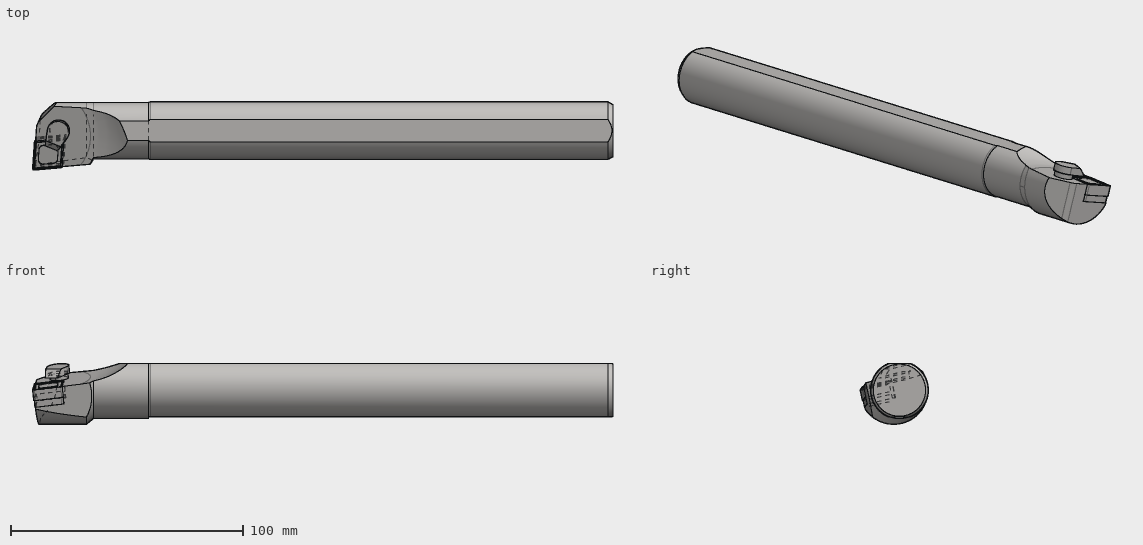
import cadquery as cq
import math

length = 250.0
shank_radius = 12.5
flat_height = 11.5
neck_radius = 12.2
neck_end = 50.0
step_length = 0.8
end_bevel_length = 2.2
end_bevel_depth = 1.2

head_radius = 14.8
head_center_y = -2.5
head_end = 23.2
head_taper_end = 26.2

tip_y = -17.0
tip_z = 0.0
slope_x = 0.1
slope_y = 0.22

insert_width = 12.8
insert_angle = 80.0
insert_thickness = 4.8
corner_radius = 0.8
land_width = 0.5
plateau_inset = 2.2
plateau_corner_radius = 2.0
groove_depth = 0.38
groove_taper = 45.0

shim_thickness = 3.0
shim_inset = 0.2
head_inset = 0.5
head_depth = 22.5
bevel_start = 20.5
bevel_end = 32.5
bevel_corner_radius = 4.5

ramp_center = (4.0, 15.5)
ramp_radius = 21.5
ramp_curve_radius = 32.5
ramp_height = 13.8

clamp_center = (12.0, 18.0)
clamp_radius = 4.8
clamp_height = 5.5
clamp_gap = 2.2
clamp_stem_radius = 4.0
clamp_reach = 5.5
clamp_nose_width = 5.8
clamp_nose_run = 3.0
clamp_turn = -113.0

half_angle = math.radians(insert_angle / 2)
diagonal = math.radians(45)
nose_gap = corner_radius * (math.cos(diagonal) / math.sin(half_angle) - 1)
rake = cq.Plane(
    origin=(-nose_gap, tip_y - nose_gap, tip_z),
    xDir=(1, 0, slope_x),
    normal=(-slope_x, -slope_y, 1),
)


def rake_plane(depth=0.0):
    """Workplane parallel to the rake plane, the given depth below it."""
    return cq.Workplane(rake).workplane(offset=-depth)


def rhombus(depth, inset):
    """Insert outline, moved inward by inset, at a depth below the rake plane."""
    center = insert_width / 2 / math.sin(half_angle) * math.cos(diagonal)
    inner = insert_width / 2 - inset
    long_half = inner / math.sin(half_angle) * math.cos(diagonal)
    short_half = inner / math.cos(half_angle) * math.cos(diagonal)
    return rake_plane(depth).center(center, center).polyline([
        (-long_half, -long_half),
        (short_half, -short_half),
        (long_half, long_half),
        (-short_half, short_half),
    ]).close()


def plate(depth, thickness, inset, radius):
    """Rhombic plate with rounded corners, hanging down from the given depth."""
    upright_edges = cq.selectors.ParallelDirSelector(rake.zDir)
    return rhombus(depth, inset).extrude(-thickness).edges(upright_edges).fillet(radius)


def make_insert():
    """Rhombic insert with a chip groove around a raised centre."""
    body = plate(0, insert_thickness, 0, corner_radius)
    plateau = plate(0, groove_depth, plateau_inset, plateau_corner_radius)
    groove = rhombus(0, land_width).extrude(-groove_depth, taper=groove_taper)
    return body.cut(groove.cut(plateau))


def flat_block(start, end, bottom):
    """Box between X = start and end that reaches from bottom up to the top flat."""
    width = 4 * shank_radius
    base = cq.Workplane("XY", origin=(start, 0, bottom))
    return base.box(end - start, width, flat_height - bottom, centered=(False, True, False))


def make_shank():
    """Round bar with a flat on top and bottom and a bevel at each end."""
    shank = cq.Workplane("XY").polyline([
        (neck_end, 0),
        (neck_end, neck_radius),
        (neck_end + step_length, shank_radius),
        (length - end_bevel_length, shank_radius),
        (length, shank_radius - end_bevel_depth),
        (length, 0),
    ]).close().revolve(360, (0, 0, 0), (1, 0, 0))
    return shank.intersect(flat_block(neck_end, length, -flat_height))


def make_neck():
    """Slightly thinner bar that carries on only the top flat."""
    start = cq.Workplane("YZ", origin=(head_taper_end, 0, 0))
    neck = start.circle(neck_radius).extrude(neck_end - head_taper_end)
    return neck.intersect(flat_block(head_taper_end, neck_end, -shank_radius))


def make_head():
    """Off-centre cylinder tapering to the neck, trimmed to the head outline."""
    head_plane = cq.Workplane("YZ").center(head_center_y, 0)
    head = head_plane.circle(head_radius).extrude(head_end)
    taper = (
        cq.Workplane("YZ", origin=(head_end, 0, 0))
        .center(head_center_y, 0).circle(head_radius)
        .workplane(offset=head_taper_end - head_end)
        .center(-head_center_y, 0).circle(neck_radius)
        .loft(ruled=True)
    )
    return head.union(taper).intersect(head_outline())


def head_outline():
    """Prism square to the rake plane: side flat, end face and rounded corner bevel."""
    lead = math.tan(diagonal - half_angle)
    far = 2 * head_end
    near = head_inset * (1 - lead)
    end_x = head_inset + lead * bevel_start
    bevel_rise = bevel_end - bevel_start
    prism = rake_plane(head_depth).polyline([
        (head_inset, near),
        (far, head_inset + lead * far),
        (far, bevel_end),
        (end_x + bevel_rise, bevel_end),
        (end_x, bevel_start),
    ]).close().extrude(2 * head_depth)
    corner = rake.toWorldCoords((end_x, bevel_start, 0))
    return prism.edges(cq.selectors.NearestToPointSelector(corner)).fillet(bevel_corner_radius)


def chip_ramp():
    """Space above the rake plane, ending in a concave round ramp up to the bar's top."""
    reach = math.sqrt(ramp_curve_radius**2 - (ramp_curve_radius - ramp_height)**2)
    half_turn = math.asin(reach / ramp_curve_radius) / 2
    middle = (
        ramp_radius + ramp_curve_radius * math.sin(half_turn),
        ramp_curve_radius * (1 - math.cos(half_turn)),
    )
    origin = rake.toWorldCoords(ramp_center)
    profile = cq.Plane(origin=origin, xDir=rake.xDir, normal=-rake.yDir)
    return (
        cq.Workplane(profile).lineTo(ramp_radius, 0)
        .threePointArc(middle, (ramp_radius + reach, ramp_height))
        .lineTo(0, ramp_height).close()
        .revolve(360, (0, 0, 0), (0, 1, 0))
    )


def insert_pocket():
    """Sharp-cornered seat, open to the tip, for the insert and the shim under it."""
    return rhombus(0, 0).extrude(-insert_thickness - shim_thickness)


def make_clamp():
    """Round-ended finger on a stem above the rake plane, its sloping nose over the insert."""
    foot = clamp_reach + clamp_nose_run
    half_nose = clamp_nose_width / 2
    side_slant = math.asin((clamp_radius - half_nose) / foot)
    touch_x = clamp_radius * math.sin(side_slant)
    touch_y = clamp_radius * math.cos(side_slant)
    turned = cq.Plane(origin=rake.toWorldCoords(clamp_center), xDir=rake.xDir, normal=rake.zDir)
    turned = turned.rotated((0, 0, clamp_turn))
    stem = cq.Workplane(turned).circle(clamp_stem_radius).extrude(clamp_height)
    finger = (
        cq.Workplane(turned).workplane(offset=clamp_gap).moveTo(touch_x, touch_y)
        .threePointArc((-clamp_radius, 0), (touch_x, -touch_y))
        .lineTo(foot, -half_nose).lineTo(foot, half_nose).close()
        .extrude(clamp_height - clamp_gap)
    )
    nose_side = cq.Plane(origin=turned.origin, xDir=turned.xDir, normal=-turned.yDir)
    nose_cut = cq.Workplane(nose_side).polyline([
        (foot, clamp_gap),
        (foot, clamp_height),
        (clamp_reach, clamp_height),
    ]).close().extrude(clamp_radius, both=True)
    return finger.cut(nose_cut).union(stem)


def make_holder():
    """Bar with its head, shim and clamp in one solid."""
    bar = make_head().union(make_neck()).union(make_shank()).cut(chip_ramp()).cut(insert_pocket())
    shim = plate(insert_thickness, shim_thickness, shim_inset, corner_radius)
    return bar.union(shim).union(make_clamp())


insert = make_insert()
holder = make_holder()
result = cq.Compound.makeCompound([holder.solids().val(), insert.solids().val()])